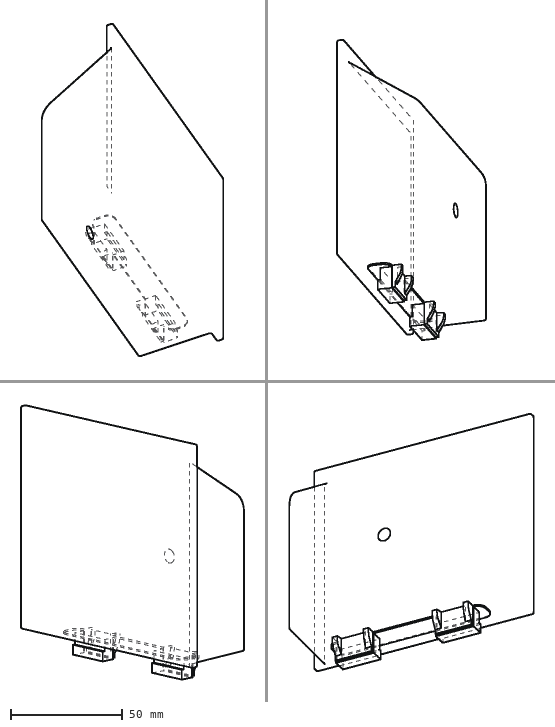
import cadquery as cq
import math

TOTAL_DEPTH = 39.6
TOTAL_HEIGHT = 113.7

FLANGE_WIDTH = 111.1
FLANGE_THICKNESS = 3.5
FLANGE_BOTTOM = 10.7

HOUSING_ROOT_HALF_WIDTH = 49.5
HOUSING_FRONT_HALF_WIDTH = 48.9
HOUSING_ROOT_TOP = 105.2
HOUSING_FRONT_BOTTOM = 11.3
SLOPE_ANGLE = 33.2
ROOF_RADIUS = 11.0
ROOF_SLOPE = math.tan(math.radians(SLOPE_ANGLE))
ROOT_FILLET = 0.9
UNDERSIDE_BEND = FLANGE_THICKNESS + ROOT_FILLET

EDGE_RADIUS = 1.0
SLACK = 0.2

DIMPLE_DIAMETER = 6.4
DIMPLE_DEPTH = 0.8
DIMPLE_HEIGHT = 47.2

PAD_WIDTH = 78.5
PAD_BACK = 8.9
PAD_FRONT = 20.0
PAD_BOTTOM = 10.1
PAD_CORNER_RADIUS = 4.0

TAB_SPACING = 51.0
TAB_WIDTH = 19.3
TAB_TOP = 11.9
TAB_BACK = 14.6
TAB_STEP = 20.0
TAB_STEP_INSET = 0.5
TAB_FRONT = 21.4
HOOK_BACK = 13.3
HOOK_HEIGHT = 4.5
EAR_ROOT_WIDTH = 3.1
EAR_FRONT_WIDTH = 2.5
EAR_FRONT = 24.3
EAR_BOTTOM = 2.7
EAR_ARC_TOP = 9.8
EAR_ARC_RADIUS = 7.7
EAR_SLOPE_ANGLE = 32.0


def side_profile(x):
    """Sketch plane at the given X, with local x along +Y and local y along +Z."""
    return cq.Workplane("YZ", origin=(x, 0, 0))


def make_flange_blank():
    """Sharp-edged flange, still reaching down to Z = 0."""
    return cq.Workplane("XY", origin=(0, -FLANGE_THICKNESS / 2, 0)).box(
        FLANGE_WIDTH, FLANGE_THICKNESS, TOTAL_HEIGHT, centered=(True, True, False)
    )


def make_housing_blank():
    """Housing with its roof and side edges rounded, still reaching from Y = 0 down to Z = 0."""
    root_to_front = TOTAL_DEPTH - FLANGE_THICKNESS
    back_top = HOUSING_ROOT_TOP + FLANGE_THICKNESS * ROOF_SLOPE
    front_top = HOUSING_ROOT_TOP - root_to_front * ROOF_SLOPE
    draft = (HOUSING_ROOT_HALF_WIDTH - HOUSING_FRONT_HALF_WIDTH) / root_to_front
    back_half_width = HOUSING_ROOT_HALF_WIDTH + draft * FLANGE_THICKNESS

    block = (
        side_profile(-back_half_width)
        .lineTo(-TOTAL_DEPTH, 0)
        .lineTo(-TOTAL_DEPTH, front_top)
        .lineTo(0, back_top)
        .close()
        .extrude(2 * back_half_width)
    )
    roof_edge = cq.selectors.NearestToPointSelector((0, -TOTAL_DEPTH, front_top))
    block = block.edges(roof_edge).fillet(ROOF_RADIUS)
    drafted_plan = (
        cq.Workplane("XY")
        .moveTo(-back_half_width, 0)
        .lineTo(back_half_width, 0)
        .lineTo(HOUSING_FRONT_HALF_WIDTH, -TOTAL_DEPTH)
        .lineTo(-HOUSING_FRONT_HALF_WIDTH, -TOTAL_DEPTH)
        .close()
        .extrude(TOTAL_HEIGHT)
    )
    housing = block.intersect(drafted_plan)
    side_edges = housing.faces("<X or >X").edges("not(>Y or <Z)")
    return side_edges.fillet(EDGE_RADIUS)


def fillet_root(body):
    """Blend the sides and roof of the housing into the front of the flange."""
    root = cq.selectors.BoxSelector(
        (-HOUSING_ROOT_HALF_WIDTH - SLACK, -FLANGE_THICKNESS - SLACK, SLACK),
        (HOUSING_ROOT_HALF_WIDTH + SLACK, -FLANGE_THICKNESS + SLACK, HOUSING_ROOT_TOP + SLACK),
    )
    return body.edges(root).fillet(ROOT_FILLET)


def trim_underside(body):
    """Cut off the bottom: level under the flange, rising gently under the housing."""
    waste = (
        side_profile(-FLANGE_WIDTH / 2)
        .lineTo(0, FLANGE_BOTTOM)
        .lineTo(-UNDERSIDE_BEND, FLANGE_BOTTOM)
        .lineTo(-TOTAL_DEPTH, HOUSING_FRONT_BOTTOM)
        .lineTo(-TOTAL_DEPTH, 0)
        .close()
        .extrude(FLANGE_WIDTH)
    )
    return body.cut(waste)


def round_outer_edges(body):
    """Round the flange all over and the whole rim of the underside."""
    half_width = FLANGE_WIDTH / 2
    underside = cq.selectors.BoxSelector(
        (-half_width, -TOTAL_DEPTH - SLACK, FLANGE_BOTTOM - SLACK),
        (half_width, -FLANGE_THICKNESS + SLACK, HOUSING_FRONT_BOTTOM + SLACK),
    )
    bend = cq.selectors.NearestToPointSelector((0, -UNDERSIDE_BEND, FLANGE_BOTTOM))
    flange_edges = body.faces("<X or >X or >Z or >Y").edges()
    return flange_edges.add(body.edges(underside - bend)).fillet(EDGE_RADIUS)


def make_dimple():
    rim_radius = DIMPLE_DIAMETER / 2
    ball_radius = (rim_radius ** 2 + DIMPLE_DEPTH ** 2) / (2 * DIMPLE_DEPTH)
    center_y = -TOTAL_DEPTH + DIMPLE_DEPTH - ball_radius
    return cq.Workplane("XY", origin=(0, center_y, DIMPLE_HEIGHT)).sphere(ball_radius)


def make_pad():
    depth = PAD_FRONT - PAD_BACK
    return (
        cq.Workplane("XY", origin=(0, -(PAD_BACK + PAD_FRONT) / 2, PAD_BOTTOM))
        .rect(PAD_WIDTH, depth)
        .extrude(TAB_TOP - PAD_BOTTOM)
        .edges("|Z")
        .fillet(PAD_CORNER_RADIUS)
    )


def make_left_ear(left):
    """One cheek of a tab: upright front, convex arc, then a straight slope back to the tab.

    The outer face is flat; the inner face draws in towards the front.
    """
    slope = math.radians(EAR_SLOPE_ANGLE)
    arc_center_y = -EAR_FRONT + EAR_ARC_RADIUS

    def arc_point(angle):
        return (
            arc_center_y - EAR_ARC_RADIUS * math.cos(angle),
            EAR_ARC_TOP - EAR_ARC_RADIUS * math.sin(angle),
        )

    cheek = (
        side_profile(left)
        .moveTo(-TAB_STEP, TAB_TOP)
        .lineTo(-EAR_FRONT, TAB_TOP)
        .lineTo(-EAR_FRONT, EAR_ARC_TOP)
        .threePointArc(arc_point(slope / 2), arc_point(slope))
        .lineTo(-TAB_FRONT, EAR_BOTTOM)
        .lineTo(-TAB_STEP, EAR_BOTTOM)
        .close()
        .extrude(EAR_ROOT_WIDTH)
    )
    drafted_plan = (
        cq.Workplane("XY", origin=(left, 0, 0))
        .moveTo(0, -TAB_STEP)
        .lineTo(EAR_ROOT_WIDTH, -TAB_STEP)
        .lineTo(EAR_ROOT_WIDTH, -TAB_FRONT)
        .lineTo(EAR_FRONT_WIDTH, -EAR_FRONT)
        .lineTo(0, -EAR_FRONT)
        .close()
        .extrude(TAB_TOP)
    )
    return cheek.intersect(drafted_plan)


def make_tab():
    """Tab centred on X = 0: a hooked plate, a narrower front plate and two ears."""
    hooked_plate = (
        side_profile(-TAB_WIDTH / 2)
        .moveTo(-TAB_STEP, 0)
        .lineTo(-HOOK_BACK, 0)
        .lineTo(-HOOK_BACK, HOOK_HEIGHT)
        .lineTo(-TAB_BACK, HOOK_HEIGHT)
        .lineTo(-TAB_BACK, TAB_TOP)
        .lineTo(-TAB_STEP, TAB_TOP)
        .close()
        .extrude(TAB_WIDTH)
    )
    front_width = TAB_WIDTH - 2 * TAB_STEP_INSET
    front_plate = cq.Workplane("XY", origin=(-front_width / 2, -TAB_FRONT, TAB_STEP_INSET)).box(
        front_width, TAB_FRONT - TAB_STEP, TAB_TOP - TAB_STEP_INSET, centered=False
    )
    left_ear = make_left_ear(-front_width / 2)
    right_ear = left_ear.mirror("YZ")
    return hooked_plate.union(front_plate).union(left_ear).union(right_ear)


body = fillet_root(make_flange_blank().union(make_housing_blank()))
body = round_outer_edges(trim_underside(body))
result = body.cut(make_dimple()).union(make_pad())
for tab_x in (-TAB_SPACING / 2, TAB_SPACING / 2):
    result = result.union(make_tab().translate((tab_x, 0, 0)))